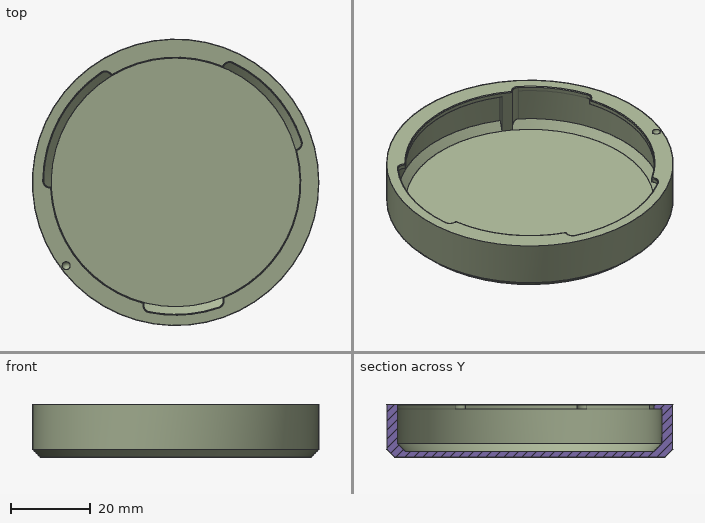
import cadquery as cq

outer_radius = 36.0
height = 13.3
base_chamfer = 2.0

floor_height = 1.5
chamber_radius = 33.2
lip_radius = 31.25
lip_thickness = 1.2
lip_bottom = height - lip_thickness
floor_bevel = chamber_radius - lip_radius
mouth_chamfer = 0.2

front_notch = (255.4, 292.1)
notch_spans = [(15.2, 67.5), (121.1, 182.2), front_notch]
notch_corner_radius = 1.65

stop_width_angle = 5.0

dimple_radius = 1.0
dimple_distance = 34.55
dimple_angle = 217.3


def make_sector(radius, bottom, top, start_angle, end_angle):
    """Pie slice about the Z axis, from start_angle counterclockwise to end_angle."""
    return (
        cq.Workplane("XZ", origin=(0, 0, bottom))
        .rect(radius, top - bottom, centered=False)
        .revolve(end_angle - start_angle, (0, 0), (0, 1))
        .rotate((0, 0, 0), (0, 0, 1), start_angle)
    )


def is_outer_edge(edge):
    center = edge.Center()
    return center.x**2 + center.y**2 > lip_radius**2


def make_notch(span, bottom):
    """Slice reaching the chamber wall, with rounded outer corners."""
    notch = make_sector(chamber_radius, bottom, height, *span)
    return notch.edges("|Z").filter(is_outer_edge).fillet(notch_corner_radius)


def make_body():
    body = cq.Workplane("XY").circle(outer_radius).extrude(height)
    return body.faces("<Z").chamfer(base_chamfer)


def make_stop():
    """Block between lip radius and chamber wall; its end face continues the notch end."""
    notch_end = front_notch[1]
    start_angle = notch_end - stop_width_angle
    end_angle = notch_end + stop_width_angle
    block = make_sector(chamber_radius, floor_height, lip_bottom, start_angle, end_angle)
    bore = cq.Workplane("XY").circle(lip_radius).extrude(height)
    return block.cut(bore).cut(make_notch(front_notch, 0))


def make_chamber():
    profile = [
        (0, floor_height),
        (lip_radius, floor_height),
        (chamber_radius, floor_height + floor_bevel),
        (chamber_radius, lip_bottom),
        (0, lip_bottom),
    ]
    chamber = cq.Workplane("XZ").polyline(profile).close().revolve(360, (0, 0), (0, 1))
    return chamber.cut(make_stop())


def make_mouth():
    """Opening through the lip, widened by a chamfer along its top edge."""
    mouth = cq.Workplane("XY", origin=(0, 0, lip_bottom)).circle(lip_radius).extrude(lip_thickness)
    for span in notch_spans:
        mouth = mouth.union(make_notch(span, lip_bottom))
    outline = mouth.faces(">Z").wires().val().translate(cq.Vector(0, 0, -mouth_chamfer))
    flare = cq.Workplane("XY").add(outline).toPending().extrude(mouth_chamfer, taper=-45)
    return mouth.union(flare)


def make_dimple():
    dimple = cq.Workplane("XY", origin=(dimple_distance, 0, height)).sphere(dimple_radius)
    return dimple.rotate((0, 0, 0), (0, 0, 1), dimple_angle)


result = make_body().cut(make_chamber()).cut(make_mouth()).cut(make_dimple())